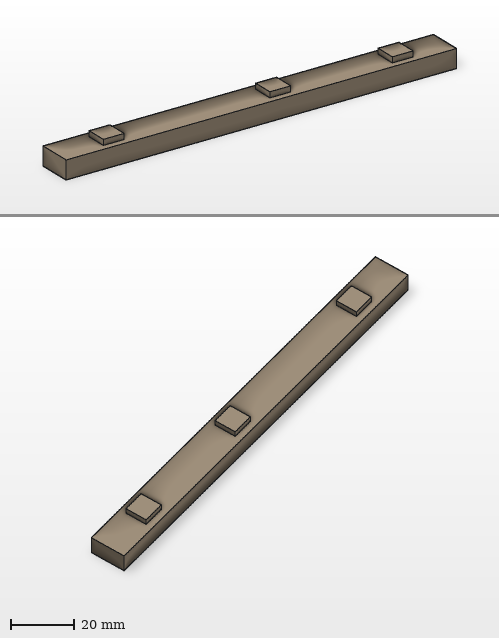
import cadquery as cq

bar_width = 13.0
bar_length = 150.0
bar_height = 7.0

pad_side = 8.0
overall_height = 9.1
pad_height = overall_height - bar_height

pad_setbacks = [15.0, 62.0, 126.0]


def make_bar():
    return cq.Workplane("XY").box(bar_width, bar_length, bar_height, centered=(True, True, False))


def make_pad(setback):
    pad_center_y = bar_length / 2 - setback - pad_side / 2
    pad = cq.Workplane("XY").box(pad_side, pad_side, pad_height, centered=(True, True, False))
    return pad.translate((0, pad_center_y, bar_height))


result = make_bar()
for pad_setback in pad_setbacks:
    result = result.union(make_pad(pad_setback))